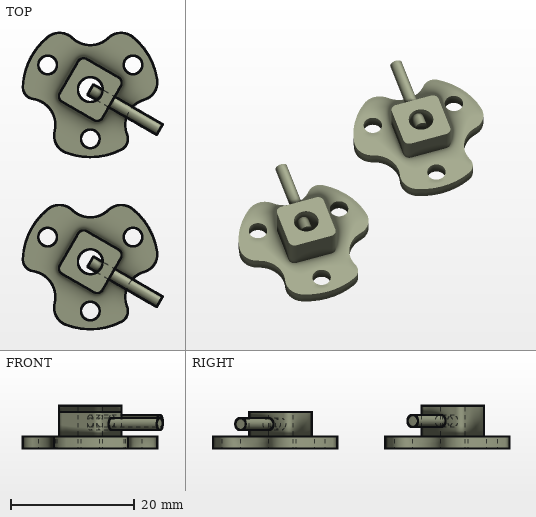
import cadquery as cq
import math

plate_thickness = 2.0
plate_radius = 11.0
notch_radius = 4.25
notch_center_distance = 11.5
lobe_corner_radius = 3.0
tight_corner_radius = 2.0
tight_corners = [(1, -1), (2, -1)]
first_notch_angle = 90
first_screw_angle = 30
lobe_count = 3
screw_hole_diameter = 3.0
screw_circle_radius = 8.0

boss_side = 8.0
boss_corner_radius = 1.0
low_boss_height = 4.0
tall_boss_height = 5.0
bore_diameter = 4.0

rod_diameter = 2.0
rod_length = 13.0
turn_angle = -30

assembly_pitch = 27.95
assemblies = [
    (-assembly_pitch / 2, low_boss_height),
    (assembly_pitch / 2, tall_boss_height),
]


def make_plate():
    notches = (
        cq.Workplane("XY")
        .polarArray(notch_center_distance, first_notch_angle, 360, lobe_count)
        .circle(notch_radius)
        .extrude(plate_thickness)
    )
    plate = cq.Workplane("XY").circle(plate_radius).extrude(plate_thickness).cut(notches)
    squares = plate_radius**2 + notch_center_distance**2 - notch_radius**2
    chord_distance = squares / (2 * notch_center_distance)
    half_width = math.sqrt(plate_radius**2 - chord_distance**2)
    corner_angle = math.degrees(math.atan2(half_width, chord_distance))
    for index in range(lobe_count):
        notch_angle = first_notch_angle + index * 360 / lobe_count
        for side in (-1, 1):
            angle = math.radians(notch_angle + side * corner_angle)
            corner = (plate_radius * math.cos(angle), plate_radius * math.sin(angle), plate_thickness / 2)
            radius = tight_corner_radius if (index, side) in tight_corners else lobe_corner_radius
            plate = plate.edges(cq.selectors.NearestToPointSelector(corner)).fillet(radius)
    screw_holes = (
        cq.Workplane("XY")
        .polarArray(screw_circle_radius, first_screw_angle, 360, lobe_count)
        .circle(screw_hole_diameter / 2)
        .extrude(plate_thickness)
    )
    return plate.cut(screw_holes)


def make_boss(boss_height):
    return (
        cq.Workplane("XY", origin=(0, 0, plate_thickness))
        .rect(boss_side, boss_side)
        .extrude(boss_height)
        .edges("|Z")
        .fillet(boss_corner_radius)
        .rotate((0, 0, 0), (0, 0, 1), turn_angle)
    )


def make_rod(boss_height):
    """Horizontal rod at half the height of the boss."""
    rod_height = plate_thickness + boss_height / 2
    return (
        cq.Workplane("YZ", origin=(0, 0, rod_height))
        .circle(rod_diameter / 2)
        .extrude(rod_length)
        .rotate((0, 0, 0), (0, 0, 1), turn_angle)
    )


def make_housing(boss_height):
    """Plate and boss in one piece, bored through and cross-drilled for the rod."""
    bore = cq.Workplane("XY").circle(bore_diameter / 2).extrude(plate_thickness + boss_height)
    return make_plate().union(make_boss(boss_height)).cut(bore).cut(make_rod(boss_height))


bodies = []
for y_position, boss_height in assemblies:
    offset = (0, y_position, 0)
    housing = make_housing(boss_height).translate(offset)
    rod = make_rod(boss_height).translate(offset)
    bodies += [housing.val(), rod.val()]

result = cq.Compound.makeCompound(bodies)